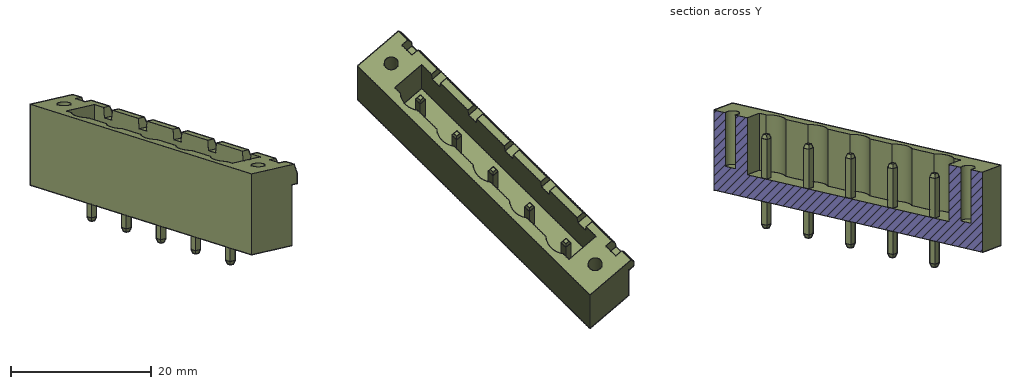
import cadquery as cq

length = 48.68
depth = 8.6
height = 12.0
front_to_pins = 3.8

lip_overhang = 1.0
lip_height = 3.0
lip_chamfer_depth = 0.6
lip_chamfer_height = 1.5

pin_count = 5
pin_pitch = 7.62
pin_width = 1.0
pin_below = 4.0
pin_top = 10.0
pin_tip_width = 0.6
pin_tip_height = 0.6

pocket_end_wall = 6.1
pocket_back_wall = 1.75
pocket_front_wall = 1.6
pocket_depth = 8.5
scallop_radius = 2.85

notch_top = 1.9
notch_floor = 1.55
notch_depth = 1.5
end_notch_top = 2.1
end_notch_floor = 1.55
end_notch_depth = 2.5

insert_diameter = 4.0
insert_bore = 2.0
insert_depth = 8.0
insert_from_end = 3.0

front_y = -front_to_pins
back_y = front_y + depth
wall_y = back_y - lip_overhang
notch_front_y = back_y - pocket_back_wall
pin_positions = [(i - (pin_count - 1) / 2) * pin_pitch for i in range(pin_count)]
insert_x = length / 2 - insert_from_end
end_positions = [-insert_x, insert_x]


def make_housing():
    """Block with the chamfered lip, as one profile swept along X."""
    profile = [
        (front_y, 0),
        (wall_y, 0),
        (wall_y, height - lip_height),
        (back_y, height - lip_height),
        (back_y, height - lip_chamfer_height),
        (back_y - lip_chamfer_depth, height),
        (front_y, height),
    ]
    return cq.Workplane("YZ").polyline(profile).close().extrude(length / 2, both=True)


def make_pocket():
    """Rectangular pocket with a round scallop in front of each pin."""
    pocket_length = length - 2 * pocket_end_wall
    pocket_width = depth - pocket_back_wall - pocket_front_wall
    floor = cq.Workplane("XY").workplane(offset=height - pocket_depth)
    pocket = floor.center(0, notch_front_y - pocket_width / 2).rect(pocket_length, pocket_width)
    pocket = pocket.extrude(pocket_depth)
    scallops = floor.pushPoints([(x, 0) for x in pin_positions]).circle(scallop_radius)
    scallops = scallops.extrude(pocket_depth)
    front_side = floor.center(0, front_y).rect(length, 2 * front_to_pins).extrude(pocket_depth)
    return pocket.union(scallops.intersect(front_side))


def make_notch(x, top_width, floor_width, notch_height):
    """Tapered notch from the back of the lip to the plane of the pocket's back face."""
    profile = [
        (x - floor_width / 2, height - notch_height),
        (x + floor_width / 2, height - notch_height),
        (x + top_width / 2, height),
        (x - top_width / 2, height),
    ]
    plane = cq.Workplane("XZ", origin=(0, back_y, 0))
    return plane.polyline(profile).close().extrude(pocket_back_wall)


def make_pin(x):
    """Square pin with both ends tapered."""
    shaft_bottom = pin_tip_height - pin_below
    shaft_top = pin_top - pin_tip_height
    shaft = cq.Workplane("XY", origin=(x, 0, shaft_bottom)).rect(pin_width, pin_width)
    pin = shaft.extrude(shaft_top - shaft_bottom)
    for end, direction in ((shaft_bottom, -1), (shaft_top, 1)):
        base = cq.Workplane("XY", origin=(x, 0, end)).rect(pin_width, pin_width)
        tip = base.workplane(offset=direction * pin_tip_height).rect(pin_tip_width, pin_tip_width)
        pin = pin.union(tip.loft())
    return pin


def make_insert_cylinders(diameter):
    """Cylinders at both insert positions, sunk from the top face."""
    top = cq.Workplane("XY", origin=(0, 0, height)).pushPoints([(x, 0) for x in end_positions])
    return top.circle(diameter / 2).extrude(-insert_depth)


housing = make_housing().cut(make_pocket())
for pin_x in pin_positions:
    housing = housing.cut(make_notch(pin_x, notch_top, notch_floor, notch_depth))
    housing = housing.union(make_pin(pin_x))
for end_x in end_positions:
    housing = housing.cut(make_notch(end_x, end_notch_top, end_notch_floor, end_notch_depth))

inserts = make_insert_cylinders(insert_diameter).cut(make_insert_cylinders(insert_bore))
housing = housing.cut(make_insert_cylinders(insert_diameter))
result = housing.union(inserts, clean=False)